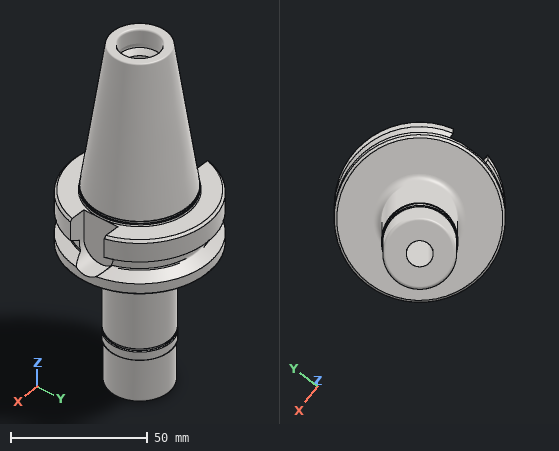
import cadquery as cq
import math

EIGHTH_TURN = math.pi / 4

TAPER_BASE_RADIUS = 44.45 / 2
TAPER_LENGTH = 65.4
TAPER_PER_LENGTH = 7 / 24
TAPER_TOP_ROUND = 0.7
LAND_RADIUS = 22.0
LAND_BOTTOM = -0.9
COLLAR_RADIUS = 22.25
COLLAR_BOTTOM = -1.4
COLLAR_FOOT_RADIUS = 22.6

FLANGE_RADIUS = 63 / 2
FLANGE_TOP = -2.0
FLANGE_BOTTOM = -27.0
FLANGE_CHAMFER = 1.0
GROOVE_RADIUS = 53 / 2
GROOVE_CENTER = -16.6
GROOVE_FLOOR_WIDTH = 4.3
GROOVE_FLANK_ANGLE = 30
GROOVE_CORNER_RADIUS = 0.6

NECK_RADIUS = 27.9 / 2
NECK_FILLET = 3.0
UNDERCUT_TOP = -65.3
UNDERCUT_RADIUS = 27.2 / 2
BAND_RADIUS = 28.1 / 2
BAND_TOP = -66.0
BAND_BOTTOM = -70.45
BAND_CHAMFER = 0.35
NOSE_RADIUS = 27.2 / 2
NOSE_BOTTOM = -90.0
NOSE_END_ROUND = 1.2

SLOT_WIDTH = 16.1
SLOT_FLOOR_X = 22.6
SLOT_ARC_CENTER = -15.1

PILOT_RADIUS = 17.2 / 2
BORE_MOUTH_ROUND = 1.0
PILOT_BOTTOM_DEPTH = 6.7
RECESS_RADIUS = 9.0
RECESS_TOP_DEPTH = 8.1
RECESS_BOTTOM_DEPTH = 8.7
SEAT_DEPTH = 9.0
SEAT_HALF_ANGLE = 45
THREAD_RADIUS = 13.6 / 2
THREAD_DEPTH = 30.0
THREAD_END_HALF_ANGLE = 59
BORE_RADIUS = 9.84 / 2


def arc_point(center_radius, center_height, arc_radius, turn):
    """Point on a profile arc, turned outward and down by an angle from the arc's highest point."""
    return (center_radius + arc_radius * math.sin(turn), center_height + arc_radius * math.cos(turn))


def make_body():
    """Revolve the outer profile: taper, grooved flange and nose."""
    top_radius = TAPER_BASE_RADIUS - TAPER_LENGTH * TAPER_PER_LENGTH / 2
    cone_angle = math.atan(TAPER_PER_LENGTH / 2)
    top_round_turn = math.pi / 2 - cone_angle
    top_round_center = top_radius - TAPER_TOP_ROUND * math.tan(top_round_turn / 2)
    groove_top = GROOVE_CENTER + GROOVE_FLOOR_WIDTH / 2
    groove_bottom = GROOVE_CENTER - GROOVE_FLOOR_WIDTH / 2
    flank = math.radians(GROOVE_FLANK_ANGLE)
    flank_height = (FLANGE_RADIUS - GROOVE_RADIUS) * math.tan(flank)
    corner_turn = math.pi / 2 - flank
    corner_setback = GROOVE_CORNER_RADIUS * math.tan(corner_turn / 2)
    corner_center = (GROOVE_RADIUS + GROOVE_CORNER_RADIUS, groove_bottom + corner_setback)
    corner_start_turn = -math.pi / 2
    neck_fillet_center = (NECK_RADIUS + NECK_FILLET, FLANGE_BOTTOM - NECK_FILLET)
    nose_round_center = (NOSE_RADIUS - NOSE_END_ROUND, NOSE_BOTTOM + NOSE_END_ROUND)
    profile = (
        cq.Workplane("XZ")
        .moveTo(0, TAPER_LENGTH)
        .lineTo(top_round_center, TAPER_LENGTH)
        .threePointArc(
            arc_point(top_round_center, TAPER_LENGTH - TAPER_TOP_ROUND, TAPER_TOP_ROUND, top_round_turn / 2),
            arc_point(top_round_center, TAPER_LENGTH - TAPER_TOP_ROUND, TAPER_TOP_ROUND, top_round_turn),
        )
        .lineTo(TAPER_BASE_RADIUS, 0)
        .lineTo(LAND_RADIUS, 0)
        .lineTo(LAND_RADIUS, LAND_BOTTOM)
        .lineTo(COLLAR_RADIUS, LAND_BOTTOM)
        .lineTo(COLLAR_RADIUS, COLLAR_BOTTOM)
        .lineTo(COLLAR_FOOT_RADIUS, FLANGE_TOP)
        .lineTo(FLANGE_RADIUS - FLANGE_CHAMFER, FLANGE_TOP)
        .lineTo(FLANGE_RADIUS, FLANGE_TOP - FLANGE_CHAMFER)
        .lineTo(FLANGE_RADIUS, groove_top + flank_height)
        .lineTo(GROOVE_RADIUS, groove_top)
        .lineTo(GROOVE_RADIUS, corner_center[1])
        .threePointArc(
            arc_point(*corner_center, GROOVE_CORNER_RADIUS, corner_start_turn - corner_turn / 2),
            arc_point(*corner_center, GROOVE_CORNER_RADIUS, corner_start_turn - corner_turn),
        )
        .lineTo(FLANGE_RADIUS, groove_bottom - flank_height)
        .lineTo(FLANGE_RADIUS, FLANGE_BOTTOM + FLANGE_CHAMFER)
        .lineTo(FLANGE_RADIUS - FLANGE_CHAMFER, FLANGE_BOTTOM)
        .lineTo(neck_fillet_center[0], FLANGE_BOTTOM)
        .threePointArc(
            arc_point(*neck_fillet_center, NECK_FILLET, -EIGHTH_TURN),
            (NECK_RADIUS, neck_fillet_center[1]),
        )
        .lineTo(NECK_RADIUS, UNDERCUT_TOP + NECK_RADIUS - UNDERCUT_RADIUS)
        .lineTo(UNDERCUT_RADIUS, UNDERCUT_TOP)
        .lineTo(UNDERCUT_RADIUS, BAND_TOP)
        .lineTo(BAND_RADIUS - BAND_CHAMFER, BAND_TOP)
        .lineTo(BAND_RADIUS, BAND_TOP - BAND_CHAMFER)
        .lineTo(BAND_RADIUS, BAND_BOTTOM + BAND_CHAMFER)
        .lineTo(BAND_RADIUS - BAND_CHAMFER, BAND_BOTTOM)
        .lineTo(NOSE_RADIUS, BAND_BOTTOM)
        .lineTo(NOSE_RADIUS, nose_round_center[1])
        .threePointArc(
            arc_point(*nose_round_center, NOSE_END_ROUND, 3 * EIGHTH_TURN),
            (nose_round_center[0], NOSE_BOTTOM),
        )
        .lineTo(0, NOSE_BOTTOM)
        .close()
    )
    return profile.revolve(360, (0, 0, 0), (0, 1, 0))


def make_bore():
    """Stepped through bore: round-edged pilot, recess, conical seat, thread bore and coolant bore."""
    mouth_center = (PILOT_RADIUS + BORE_MOUTH_ROUND, TAPER_LENGTH - BORE_MOUTH_ROUND)
    seat_height = (PILOT_RADIUS - THREAD_RADIUS) / math.tan(math.radians(SEAT_HALF_ANGLE))
    end_height = (THREAD_RADIUS - BORE_RADIUS) / math.tan(math.radians(THREAD_END_HALF_ANGLE))
    profile = (
        cq.Workplane("XZ")
        .moveTo(0, TAPER_LENGTH)
        .lineTo(mouth_center[0], TAPER_LENGTH)
        .threePointArc(
            arc_point(*mouth_center, BORE_MOUTH_ROUND, -EIGHTH_TURN),
            (PILOT_RADIUS, mouth_center[1]),
        )
        .lineTo(PILOT_RADIUS, TAPER_LENGTH - PILOT_BOTTOM_DEPTH)
        .lineTo(RECESS_RADIUS, TAPER_LENGTH - RECESS_TOP_DEPTH)
        .lineTo(RECESS_RADIUS, TAPER_LENGTH - RECESS_BOTTOM_DEPTH)
        .lineTo(PILOT_RADIUS, TAPER_LENGTH - SEAT_DEPTH)
        .lineTo(THREAD_RADIUS, TAPER_LENGTH - SEAT_DEPTH - seat_height)
        .lineTo(THREAD_RADIUS, TAPER_LENGTH - THREAD_DEPTH)
        .lineTo(BORE_RADIUS, TAPER_LENGTH - THREAD_DEPTH - end_height)
        .lineTo(BORE_RADIUS, NOSE_BOTTOM)
        .lineTo(0, NOSE_BOTTOM)
        .close()
    )
    return profile.revolve(360, (0, 0, 0), (0, 1, 0))


def make_drive_slot(side):
    """Round-bottomed slot cut into the flange on the +X (side = 1) or -X (side = -1) flank."""
    half_width = SLOT_WIDTH / 2
    depth = FLANGE_RADIUS - SLOT_FLOOR_X
    outline = (
        cq.Workplane("YZ", origin=(side * SLOT_FLOOR_X, 0, 0))
        .moveTo(-half_width, FLANGE_TOP)
        .lineTo(-half_width, SLOT_ARC_CENTER)
        .threePointArc((0, SLOT_ARC_CENTER - half_width), (half_width, SLOT_ARC_CENTER))
        .lineTo(half_width, FLANGE_TOP)
        .close()
    )
    return outline.extrude(side * depth)


result = make_body().cut(make_bore())
for slot_side in (-1, 1):
    result = result.cut(make_drive_slot(slot_side))